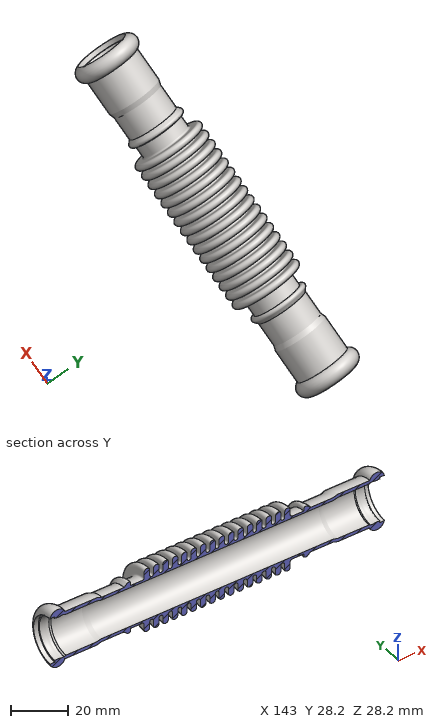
import cadquery as cq
import math

total_length = 143.0
middle_x = total_length / 2

rib_count = 16
rib_pitch = 4.0
rib_radius = 1.3
valley_radius = rib_pitch / 2 - rib_radius
bellows_diameter = 28.2
valley_diameter = 19.3

mouth_diameter = 20.0
bead_width = 6.5
bead_diameter = 25.7
socket_diameter = 21.3
socket_end = 20.0

neck_diameter = 20.0
neck_start = 22.0

collar_diameter = 22.9
collar_start = 31.6
collar_end = 34.6
collar_lip_radius = 1.0
collar_ramp_angle = 45.0

through_diameter = 17.0
socket_bore_diameter = 18.0

seal_start = 2.0
seal_end = 4.9
seal_inner_diameter = 18.3
seat_diameter = 18.7
seat_end = 6.0
lead_in_end = 6.7


def revolve_about_x(profile):
    """Close an (x, radius) profile and turn it into a solid around the X axis."""
    return profile.close().revolve(360, (0, 0, 0), (1, 0, 0))


def make_outer_half():
    """Outer body from the mouth to the middle plane, without ribs and without a bore."""
    lip_centre_x = collar_end - collar_lip_radius
    lip_centre_r = collar_diameter / 2 - collar_lip_radius
    ramp_angle = math.radians(collar_ramp_angle)
    ramp_top_x = lip_centre_x - collar_lip_radius * math.sin(ramp_angle)
    ramp_top_r = lip_centre_r + collar_lip_radius * math.cos(ramp_angle)

    profile = (
        cq.Workplane("XY")
        .lineTo(0, mouth_diameter / 2)
        .threePointArc((bead_width / 2, bead_diameter / 2), (bead_width, socket_diameter / 2))
        .lineTo(socket_end, socket_diameter / 2)
        .lineTo(neck_start, neck_diameter / 2)
        .lineTo(collar_start, neck_diameter / 2)
        .lineTo(ramp_top_x, ramp_top_r)
        .threePointArc((lip_centre_x, collar_diameter / 2), (collar_end, lip_centre_r))
        .lineTo(collar_end, valley_diameter / 2)
        .lineTo(middle_x, valley_diameter / 2)
        .lineTo(middle_x, 0)
    )
    return revolve_about_x(profile)


def make_bellows():
    """Solid bellows; each rib rises from one half valley and falls into the next."""
    root_r = valley_diameter / 2
    flank_start_r = root_r + valley_radius
    flank_end_r = bellows_diameter / 2 - rib_radius
    start_x = middle_x - rib_count * rib_pitch / 2

    profile = cq.Workplane("XY").moveTo(start_x, 0).lineTo(start_x, root_r)
    for index in range(rib_count):
        rib_x = start_x + (index + 0.5) * rib_pitch
        left_x = rib_x - rib_radius
        right_x = rib_x + rib_radius
        profile = (
            profile.radiusArc((left_x, flank_start_r), -valley_radius)
            .lineTo(left_x, flank_end_r)
            .threePointArc((rib_x, bellows_diameter / 2), (right_x, flank_end_r))
            .lineTo(right_x, flank_start_r)
            .radiusArc((right_x + valley_radius, root_r), -valley_radius)
        )
    profile = profile.lineTo(start_x + rib_count * rib_pitch, 0)
    return revolve_about_x(profile)


def make_bore_half():
    """Cutter for the stepped bore from the mouth to the middle plane."""
    seal_mid_x = (seal_start + seal_end) / 2
    profile = (
        cq.Workplane("XY")
        .lineTo(0, mouth_diameter / 2)
        .lineTo(seal_start, mouth_diameter / 2)
        .lineTo(seal_start, seat_diameter / 2)
        .threePointArc((seal_mid_x, seal_inner_diameter / 2), (seal_end, seat_diameter / 2))
        .lineTo(seat_end, seat_diameter / 2)
        .lineTo(lead_in_end, socket_bore_diameter / 2)
        .lineTo(socket_end, socket_bore_diameter / 2)
        .lineTo(neck_start, through_diameter / 2)
        .lineTo(middle_x, through_diameter / 2)
        .lineTo(middle_x, 0)
    )
    return revolve_about_x(profile)


def with_mirror_image(half):
    """Join a half with its reflection in the middle plane."""
    return half.union(half.mirror("YZ", (middle_x, 0, 0)))


body = with_mirror_image(make_outer_half()).union(make_bellows())
result = body.cut(with_mirror_image(make_bore_half()))